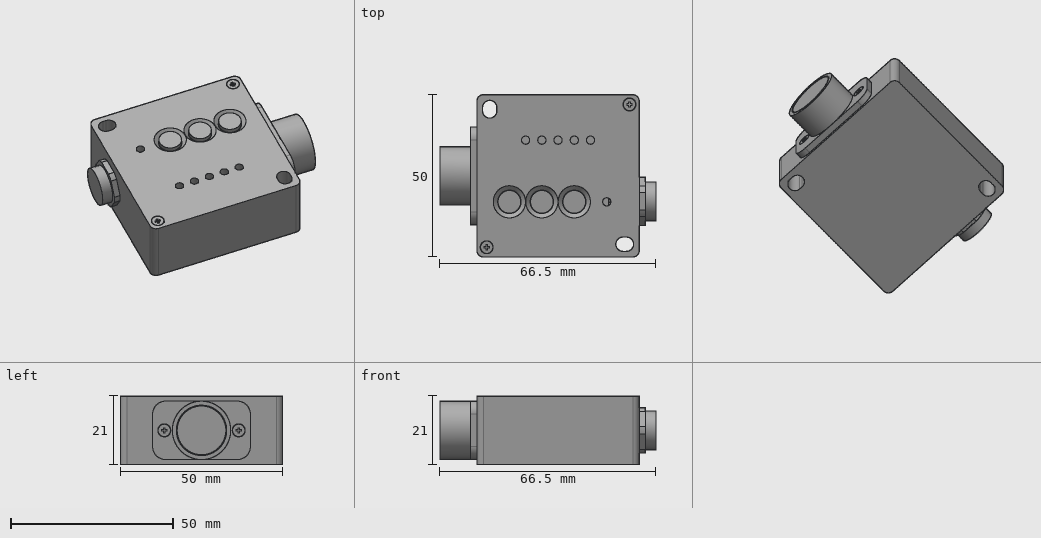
import cadquery as cq

overall_length = 66.55
case_size = 50.0
case_height = 21.0
case_corner_radius = 2.0
case_half = case_size / 2
mid_height = case_height / 2

connector_reach = 11.4
flange_thickness = 2.0
flange_width = 30.1
flange_height = 18.0
flange_corner_radius = 4.0
shell_diameter = 18.0
shell_bore = 15.5
shell_plug = 15.0
shell_gap_depth = 2.0
flange_screw_offset = 11.45

socket_y = -7.85
socket_reach = overall_length - case_size - connector_reach
socket_diameter = 12.0
nut_thickness = 1.85
nut_across_flats = 14.0
nut_turn_degrees = 30.0
nut_trim_diameter = 15.0

screw_hole_diameter = 4.0
screw_head_diameter = 3.8
screw_gap_depth = 1.0
cross_length = 1.6
cross_width = 0.5
cross_depth = 0.65
lid_screw_offset = 21.95

slot_length = 5.4
slot_width = 4.3
slot_far_offset = 21.0
slot_near_offset = 20.5

pitch = 5.0
lamp_hole_diameter = 2.5
lamp_hole_depth = 3.0
lamp_row_y = 11.0
lamp_columns = range(-2, 3)
control_row_y = -8.0
single_lamp_x = 3 * pitch
button_columns = (-3, -1, 1)
button_diameter = 7.0
button_seat_diameter = 7.2
button_rim_diameter = 9.9
button_recess_depth = (button_rim_diameter - button_seat_diameter) / 2

ledge_setback = 0.5
pin_diameter = 0.66
pin_offsets = (0.2, -0.5)

lid_plane = cq.Workplane("XY", origin=(0, 0, case_height))
flange_face = cq.Workplane("YZ", origin=(-case_half - flange_thickness, 0, mid_height))
shell_face = cq.Workplane("YZ", origin=(-case_half - connector_reach, 0, mid_height))
socket_plane = cq.Workplane("YZ", origin=(case_half, socket_y, mid_height))


def make_case():
    """Square block with rounded vertical edges."""
    block = cq.Workplane("XY").box(case_size, case_size, case_height, centered=(True, True, False))
    return block.edges("|Z").fillet(case_corner_radius)


def make_flange_connector():
    """Rounded flange carrying a shell, with a thin gap around its flush plug."""
    flange = flange_face.rect(flange_width, flange_height).extrude(flange_thickness)
    flange = flange.edges("|X").fillet(flange_corner_radius)
    shell = shell_face.circle(shell_diameter / 2).extrude(connector_reach)
    gap = shell_face.circle(shell_bore / 2).circle(shell_plug / 2).extrude(shell_gap_depth)
    return flange.union(shell).cut(gap)


def make_socket():
    """Hexagon nut with flats at top and bottom and corners turned down, and a round socket."""
    hexagon = socket_plane.transformed(rotate=(0, 0, nut_turn_degrees))
    nut = hexagon.polygon(6, nut_across_flats, circumscribed=True).extrude(nut_thickness)
    nut = nut.intersect(socket_plane.circle(nut_trim_diameter / 2).extrude(nut_thickness))
    return nut.union(socket_plane.circle(socket_diameter / 2).extrude(socket_reach))


def screw_recess(plane, points, inward):
    """Ring gap and cross recess of flush screws; inward is the cut direction along the normal."""
    holes = plane.pushPoints(points)
    gap = holes.circle(screw_hole_diameter / 2).extrude(inward * screw_gap_depth)
    gap = gap.cut(holes.circle(screw_head_diameter / 2).extrude(inward * screw_gap_depth))
    arm_a = holes.rect(cross_length, cross_width).extrude(inward * cross_depth)
    arm_b = holes.rect(cross_width, cross_length).extrude(inward * cross_depth)
    return gap.union(arm_a).union(arm_b)


def corner_slots():
    """Two through slots, one along Y and one along X."""
    slot_y = cq.Workplane("XY").center(-slot_far_offset, slot_near_offset)
    slot_x = cq.Workplane("XY").center(slot_near_offset, -slot_far_offset)
    cut_y = slot_y.slot2D(slot_length, slot_width, 90).extrude(case_height)
    cut_x = slot_x.slot2D(slot_length, slot_width).extrude(case_height)
    return cut_y.union(cut_x)


def lamp_holes():
    """Row of five blind round holes."""
    points = [(column * pitch, lamp_row_y) for column in lamp_columns]
    return lid_plane.pushPoints(points).circle(lamp_hole_diameter / 2).extrude(-lamp_hole_depth)


def contact_hole():
    """Single blind hole with pins lying on a ledge across its +X side."""
    radius = lamp_hole_diameter / 2
    hole = lid_plane.center(single_lamp_x, control_row_y).circle(radius).extrude(-lamp_hole_depth)
    ledge_top = case_height - lamp_hole_depth + pin_diameter
    contact_plane = cq.Workplane("YZ", origin=(single_lamp_x + ledge_setback, control_row_y, ledge_top))
    ledge = contact_plane.center(0, -pin_diameter / 2).rect(lamp_hole_diameter, pin_diameter).extrude(radius)
    pins = contact_plane.pushPoints([(y, 0) for y in pin_offsets]).circle(pin_diameter / 2).extrude(radius)
    return hole.cut(ledge).cut(pins)


def button_recess():
    """Conical recess around one push button whose top is flush with the lid."""
    profile = [
        (button_diameter / 2, 0),
        (button_rim_diameter / 2, 0),
        (button_seat_diameter / 2, -button_recess_depth),
        (button_diameter / 2, -button_recess_depth),
    ]
    section = cq.Workplane("XZ").polyline(profile).close()
    return section.revolve(360, (0, 0, 0), (0, 1, 0))


result = make_case().union(make_flange_connector()).union(make_socket())
result = result.cut(corner_slots()).cut(lamp_holes()).cut(contact_hole())

for column in button_columns:
    result = result.cut(button_recess().translate((column * pitch, control_row_y, case_height)))

lid_screws = [(lid_screw_offset, lid_screw_offset), (-lid_screw_offset, -lid_screw_offset)]
flange_screws = [(flange_screw_offset, 0), (-flange_screw_offset, 0)]
result = result.cut(screw_recess(lid_plane, lid_screws, -1))
result = result.cut(screw_recess(flange_face, flange_screws, 1))